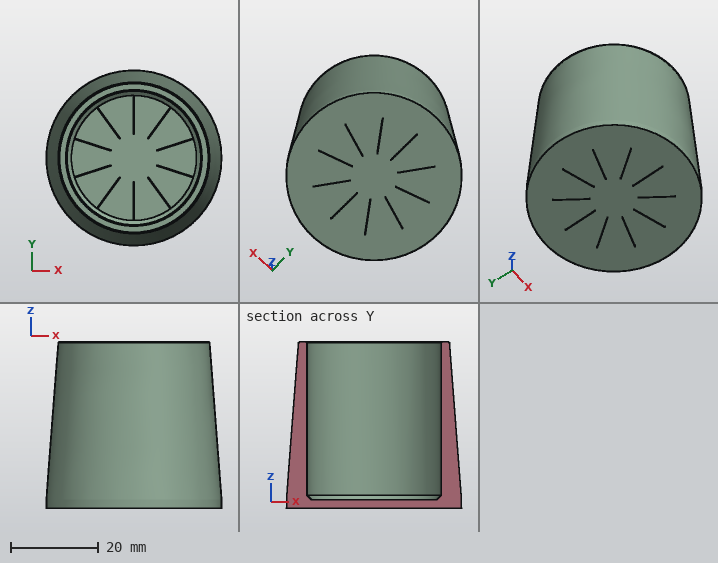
import cadquery as cq

height = 38.0
base_radius = 20.0
base_band_height = 2.0
top_radius = 17.25
rim_chamfer = 0.3
wall_slope = (base_radius - top_radius) / (height - base_band_height)

bore_radius = 30.5 / 2
mouth_chamfer = 0.3
floor_thickness = 2.0
floor_radius = 14.25
floor_chamfer = bore_radius - floor_radius

slit_count = 10
slit_width = 0.1
slit_inner_radius = 5.5
slit_outer_radius = 14.0


def cup_body():
    """Revolve the half section: a short cylindrical foot, a tapered wall and a flat-floored bore."""
    section = (
        cq.Workplane("XZ")
        .polyline([
            (0, 0),
            (base_radius, 0),
            (base_radius, base_band_height),
            (top_radius + rim_chamfer * wall_slope, height - rim_chamfer),
            (top_radius - rim_chamfer, height),
            (bore_radius + mouth_chamfer, height),
            (bore_radius, height - mouth_chamfer),
            (bore_radius, floor_thickness + floor_chamfer),
            (floor_radius, floor_thickness),
            (0, floor_thickness),
        ])
        .close()
    )
    return section.revolve(360, (0, 0, 0), (0, 1, 0))


def floor_slits():
    """Evenly spaced slits through the floor, with one of them along +Y."""
    slit_length = slit_outer_radius - slit_inner_radius
    slit_middle = (slit_outer_radius + slit_inner_radius) / 2
    return (
        cq.Workplane("XY")
        .polarArray(slit_middle, 90, 360, slit_count)
        .rect(slit_length, slit_width)
        .extrude(floor_thickness)
    )


result = cup_body().cut(floor_slits())